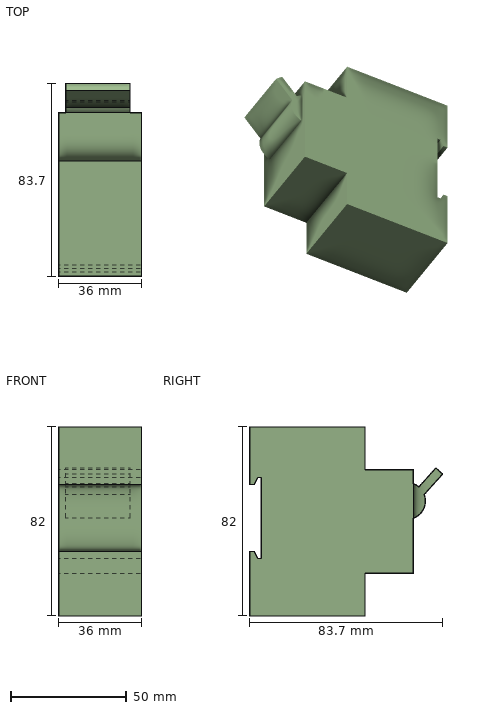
import math

import cadquery as cq

body_width = 36.0
body_height = 82.0
body_depth = 50.0
nose_height = 45.0
nose_depth = 71.0

slot_depth = 5.0
slot_top = 19.0
slot_height = 35.0
lip_overhang = 3.0
lip_land = 2.0
lip_root = 3.5

toggle_width = 28.0
toggle_side_gap = 3.0
hub_radius = 8.0
hub_y = 68.2
hub_z = 8.9
lever_thickness = 4.0
lever_angle = 48.0
lever_root_length = 14.0
overall_depth = 83.67
lever_tip_z = 20.55


def make_housing():
    half_body = body_height / 2
    half_nose = nose_height / 2
    outline = [
        (0, -half_body),
        (body_depth, -half_body),
        (body_depth, -half_nose),
        (nose_depth, -half_nose),
        (nose_depth, half_nose),
        (body_depth, half_nose),
        (body_depth, half_body),
        (0, half_body),
    ]
    return cq.Workplane("YZ").polyline(outline).close().extrude(body_width)


def make_rail_slot():
    slot_bottom = slot_top - slot_height
    mouth_top = slot_top - lip_overhang
    mouth_bottom = slot_bottom + lip_overhang
    outline = [
        (0, mouth_bottom),
        (lip_land, mouth_bottom),
        (lip_root, slot_bottom),
        (slot_depth, slot_bottom),
        (slot_depth, slot_top),
        (lip_root, slot_top),
        (lip_land, mouth_top),
        (0, mouth_top),
    ]
    return cq.Workplane("YZ").polyline(outline).close().extrude(body_width)


def make_toggle():
    hub = cq.Workplane("YZ").center(hub_y, hub_z).circle(hub_radius).extrude(toggle_width)

    angle = math.radians(lever_angle)
    along_y = math.cos(angle)
    along_z = math.sin(angle)
    tip_low = (overall_depth, lever_tip_z)
    tip_high = (tip_low[0] - lever_thickness * along_z, tip_low[1] + lever_thickness * along_y)
    root_high = (tip_high[0] - lever_root_length * along_y, tip_high[1] - lever_root_length * along_z)
    root_low = (tip_low[0] - lever_root_length * along_y, tip_low[1] - lever_root_length * along_z)
    lever = (
        cq.Workplane("YZ")
        .polyline([tip_low, tip_high, root_high, root_low])
        .close()
        .extrude(toggle_width)
    )
    return hub.union(lever).translate((toggle_side_gap, 0, 0))


part = make_housing().cut(make_rail_slot()).union(make_toggle())
result = part.translate((-body_width / 2, 0, 0))